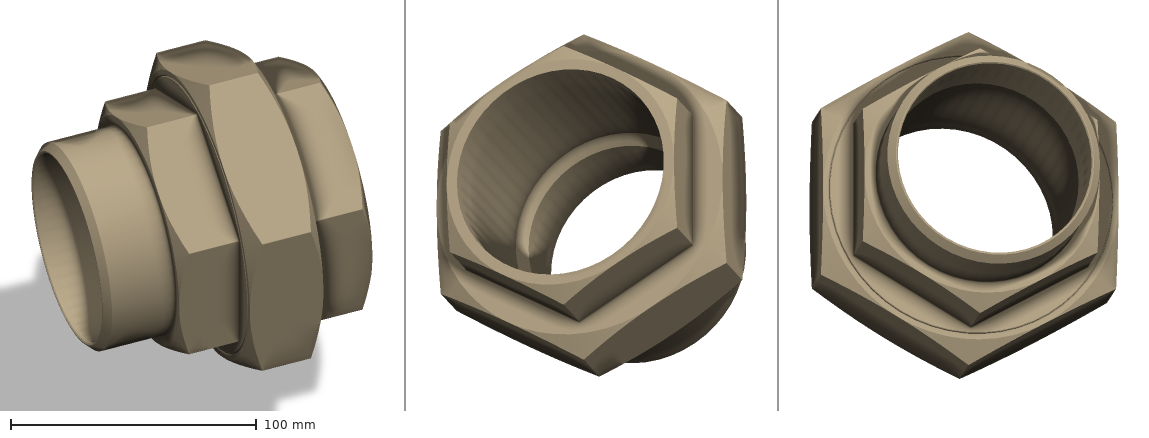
import cadquery as cq
import math

body_across_flats = 97.0
body_hex_length = 26.0
nut_across_flats = 122.0
nut_length = 32.0
hex_edge_radius = 0.3
hex_chamfer_angle = 30.0
root_radius = 0.5

spigot_length = 30.5
spigot_diameter = 87.88
spigot_chamfer = 3.0

bore_diameter = 80.0
bore_tip_chamfer = 0.5
socket_diameter = 88.28
socket_depth = 83.5
socket_cone_angle = 45.0

gap_inner_diameter = 116.6
gap_outer_diameter = 117.4
gap_rim_chamfer = 0.3
gap_depth = 1.0

nut_rear_y = -body_hex_length
nut_front_y = nut_rear_y - nut_length
body_front_y = nut_front_y - body_hex_length
tip_y = body_front_y - spigot_length

HEX_HALF_ANGLE = 180.0 / 6


def revolve_profile(points):
    """Turn a closed (radius, y) outline about the Y axis."""
    return cq.Workplane("XY").polyline(points).close().revolve(360, (0, 0, 0), (0, 1, 0))


def hex_corner_radius(across_flats):
    return across_flats / 2 / math.cos(math.radians(HEX_HALF_ANGLE))


def hexagon(across_flats, rear_y, front_y, chamfer_rear, chamfer_front):
    """Hexagonal prism with flats facing +-X; chosen ends are turned down to the across-flats circle."""
    flat_radius = across_flats / 2
    corner_radius = hex_corner_radius(across_flats)
    chamfer_length = (corner_radius - flat_radius) * math.tan(math.radians(hex_chamfer_angle))
    prism = (
        cq.Workplane("XZ", origin=(0, rear_y, 0))
        .polygon(6, 2 * corner_radius)
        .extrude(rear_y - front_y)
        .rotate((0, 0, 0), (0, 1, 0), HEX_HALF_ANGLE)
        .edges("|Y")
        .fillet(hex_edge_radius)
    )

    envelope = [(0, rear_y)]
    if chamfer_rear:
        envelope += [(flat_radius, rear_y), (corner_radius, rear_y - chamfer_length)]
    else:
        envelope += [(corner_radius, rear_y)]
    if chamfer_front:
        envelope += [(corner_radius, front_y + chamfer_length), (flat_radius, front_y)]
    else:
        envelope += [(corner_radius, front_y)]
    envelope += [(0, front_y)]
    return prism.intersect(revolve_profile(envelope))


def spigot():
    return (
        cq.Workplane("XZ", origin=(0, body_front_y, 0))
        .circle(spigot_diameter / 2)
        .extrude(spigot_length)
        .faces("<Y")
        .chamfer(spigot_chamfer)
    )


def nut_gap():
    """Narrow ring groove with a chamfer on both rims."""
    inner_radius = gap_inner_diameter / 2
    outer_radius = gap_outer_diameter / 2
    return revolve_profile([
        (inner_radius - gap_rim_chamfer, nut_front_y),
        (outer_radius + gap_rim_chamfer, nut_front_y),
        (outer_radius, nut_front_y + gap_rim_chamfer),
        (outer_radius, nut_front_y + gap_depth),
        (inner_radius, nut_front_y + gap_depth),
        (inner_radius, nut_front_y + gap_rim_chamfer),
    ])


def passage():
    """Through bore with a wider rear socket, joined by a cone, and a chamfered mouth at the tip."""
    bore_radius = bore_diameter / 2
    socket_radius = socket_diameter / 2
    cone_length = (socket_radius - bore_radius) / math.tan(math.radians(socket_cone_angle))
    return revolve_profile([
        (0, 0),
        (socket_radius, 0),
        (socket_radius, cone_length - socket_depth),
        (bore_radius, -socket_depth),
        (bore_radius, tip_y + bore_tip_chamfer),
        (bore_radius + bore_tip_chamfer, tip_y),
        (0, tip_y),
    ])


def fillet_root(solid, y, radius):
    """Round the inside corner in the plane at y, where a section of the given radius meets a face."""
    margin = 0.1
    reach = radius + margin
    box = cq.selectors.BoxSelector(
        (-reach, y - margin, -reach), (reach, y + margin, reach), boundingbox=True
    )
    return solid.edges(box).fillet(root_radius)


rear_body = hexagon(body_across_flats, 0, nut_rear_y, True, False)
nut = hexagon(nut_across_flats, nut_rear_y, nut_front_y, True, True)
front_body = hexagon(body_across_flats, nut_front_y, body_front_y, False, True)

result = rear_body.union(nut).union(front_body).union(spigot())
body_corner_radius = hex_corner_radius(body_across_flats)
result = fillet_root(result, nut_rear_y, body_corner_radius)
result = fillet_root(result, nut_front_y, body_corner_radius)
result = fillet_root(result, body_front_y, spigot_diameter / 2)
result = result.cut(nut_gap()).cut(passage())